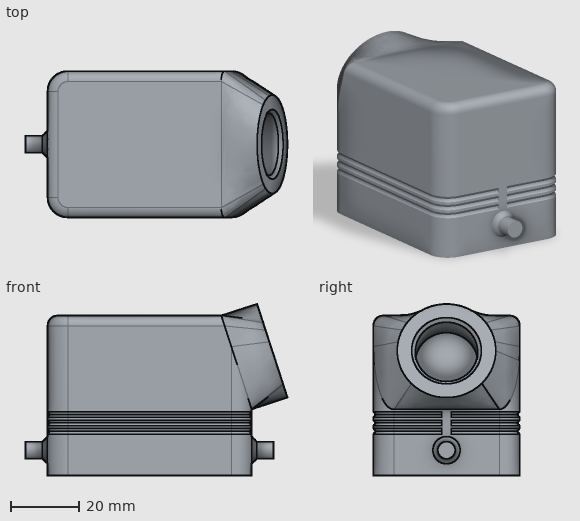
import cadquery as cq
import math

body_length = 59.95
body_width = 43.0
body_height = 47.0
corner_radius = 6.0
top_fillet = 3.0

outlet_tilt = 18.0
outlet_low_z = 19.5
outlet_length = 11.1
rim_radius = 14.5
bore_radius = 9.15
bore_chamfer = 1.1

groove_count = 3
groove_top_z = 17.9
groove_pitch = 2.5
groove_half_height = 0.85
groove_depth = 0.7
groove_gap = 2.9

pin_span = 72.9
pin_z = 7.5
pin_radius = 2.55
pin_cone_length = 1.5
pin_embed = 0.8

end_x = body_length / 2
tilt = math.radians(outlet_tilt)
cut_length = (body_height - outlet_low_z) / math.cos(tilt)
cut_top_x = end_x - (body_height - outlet_low_z) * math.tan(tilt)

cut_plane = cq.Plane(
    origin=((end_x + cut_top_x) / 2, 0, (body_height + outlet_low_z) / 2),
    xDir=(0, 1, 0),
    normal=(math.cos(tilt), 0, math.sin(tilt)),
)


def slanted_body():
    """Rounded block with its upper +X edge cut off along the outlet plane."""
    block = (
        cq.Workplane("XY")
        .box(body_length, body_width, body_height, centered=(True, True, False))
        .edges("|Z")
        .fillet(corner_radius)
        .faces(">Z")
        .edges()
        .fillet(top_fillet)
    )
    waste = cq.Workplane(cut_plane).rect(2 * body_width, 2 * cut_length).extrude(body_length)
    return block.cut(waste)


def outlet(body):
    """Ruled transition from the slanted face of the body to the round rim."""
    base = body.faces(cq.selectors.ParallelDirSelector(cut_plane.zDir)).val().outerWire()
    rim = cq.Workplane(cut_plane).workplane(offset=outlet_length).circle(rim_radius)
    return cq.Workplane(cq.Solid.makeLoft([base, rim.wires().val()], ruled=True))


def bore():
    """Blind bore along the outlet axis with a chamfered mouth."""
    mouth = cq.Workplane(cut_plane).workplane(offset=outlet_length)
    hole = mouth.circle(bore_radius).extrude(-outlet_length)
    flare = mouth.circle(bore_radius + bore_chamfer).extrude(-bore_chamfer, taper=45)
    return hole.union(flare)


def groove(apex_z):
    """Ring of V section around the body, interrupted at both end walls."""
    profile = [
        (body_width / 2, apex_z - groove_half_height),
        (body_width / 2 - groove_depth, apex_z),
        (body_width / 2, apex_z + groove_half_height),
    ]
    path = cq.Workplane("XY", origin=(0, 0, apex_z)).rect(body_length, body_width)
    path = cq.Workplane(path.val().fillet2D(corner_radius, path.vertices().vals()))
    ring = cq.Workplane("YZ").polyline(profile).close().sweep(path)
    strip = cq.Workplane("XY").box(2 * body_length, groove_gap, 2 * body_height)
    return ring.cut(strip)


def pin():
    """Pin with a conical root on the +X end wall, turned about its own axis."""
    tip_x = pin_span / 2
    cone_x = end_x + pin_cone_length
    root_top_z = pin_z + pin_radius + pin_cone_length
    return (
        cq.Workplane("XZ")
        .moveTo(end_x - pin_embed, pin_z)
        .lineTo(end_x - pin_embed, root_top_z)
        .lineTo(end_x, root_top_z)
        .lineTo(cone_x, pin_z + pin_radius)
        .lineTo(tip_x, pin_z + pin_radius)
        .lineTo(tip_x, pin_z)
        .close()
        .revolve(360, (0, pin_z, 0), (1, pin_z, 0))
    )


body = slanted_body()
result = body.union(outlet(body)).cut(bore())
for index in range(groove_count):
    result = result.cut(groove(groove_top_z - index * groove_pitch))
result = result.union(pin()).union(pin().mirror("YZ"))